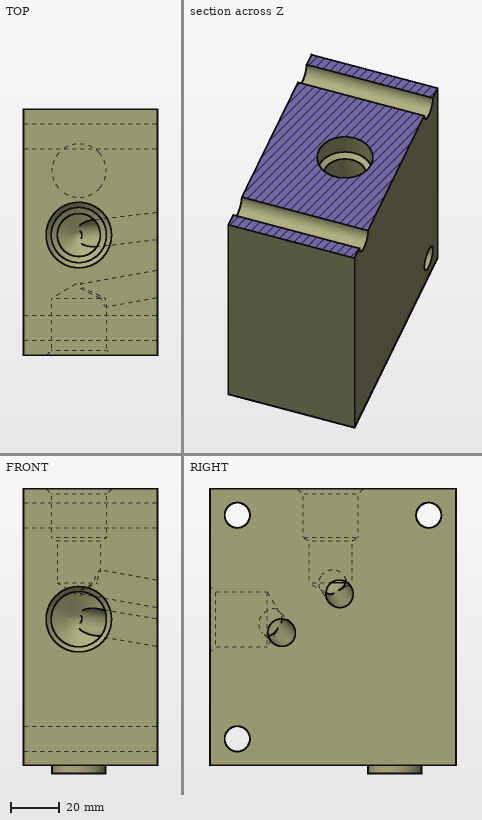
import cadquery as cq
import math

total_z = 117.6
plug_thickness = 3.4
block_x = 55.5
block_y = 101.6
block_z = total_z - plug_thickness

mount_diameter = 10.4
mount_inset_y = 11.3
mount_inset_z = 10.9

port_x = 22.9
mouth_diameter = 27.0
bore_diameter = 22.8
mouth_chamfer = (mouth_diameter - bore_diameter) / 2
drill_point_angle = 118.0
front_port_z = 60.3
front_bore_depth = 23.5
top_port_y = 49.6
top_bore_depth = 20.0
top_pilot_diameter = 17.8
top_pilot_depth = 38.8

passage_diameter = 11.2
passage_clearance = 1.0
passage_slope = 5.9
front_passage_drop = 5.5
top_passage_shift = 3.9

plug_diameter = 22.2
plug_y = 76.3


def drill_point_height(diameter):
    return diameter / 2 / math.tan(math.radians(drill_point_angle / 2))


front_port_depth = front_bore_depth + drill_point_height(bore_diameter)
top_port_depth = top_pilot_depth + drill_point_height(top_pilot_diameter)
passage_rise = passage_diameter / 2 + passage_clearance


def drill(diameter, depth):
    """Drill along +Z from the origin, with a conical point below its full-diameter depth."""
    profile = (
        cq.Workplane("XZ")
        .lineTo(diameter / 2, 0)
        .lineTo(diameter / 2, depth)
        .lineTo(0, depth + drill_point_height(diameter))
        .close()
    )
    return profile.revolve(360, (0, 0, 0), (0, 1, 0))


def mouth_cone():
    """Chamfer of a port mouth, narrowing along +Z from the origin."""
    return cq.Workplane(obj=cq.Solid.makeCone(mouth_diameter / 2, bore_diameter / 2, mouth_chamfer))


def make_front_port():
    port = drill(bore_diameter, front_bore_depth).union(mouth_cone())
    return port.rotate((0, 0, 0), (1, 0, 0), -90).translate((port_x, 0, front_port_z))


def make_top_port():
    port = drill(bore_diameter, top_bore_depth)
    port = port.union(drill(top_pilot_diameter, top_pilot_depth)).union(mouth_cone())
    return port.rotate((0, 0, 0), (1, 0, 0), 180).translate((port_x, top_port_y, block_z))


def make_passage(start, travel):
    """Round passage from start, running out through the +X face."""
    direction = cq.Vector(*travel)
    length = direction.Length + passage_diameter
    return cq.Solid.makeCylinder(passage_diameter / 2, length, cq.Vector(*start), direction)


def make_block():
    block = cq.Workplane("XY").box(block_x, block_y, block_z, centered=False)

    back_y = block_y - mount_inset_y
    upper_z = block_z - mount_inset_z
    mount_centres = [(mount_inset_y, mount_inset_z), (mount_inset_y, upper_z), (back_y, upper_z)]
    mount_holes = cq.Workplane("YZ").pushPoints(mount_centres).circle(mount_diameter / 2).extrude(block_x)
    block = block.cut(mount_holes)

    block = block.cut(make_front_port()).cut(make_top_port())

    passage_run = block_x - port_x
    front_passage = make_passage(
        (port_x, front_port_depth - passage_rise, front_port_z),
        (passage_run, passage_slope, -front_passage_drop),
    )
    top_passage = make_passage(
        (port_x, top_port_y, block_z - top_port_depth + passage_rise),
        (passage_run, top_passage_shift, -passage_slope),
    )
    return block.cut(cq.Workplane(obj=front_passage)).cut(cq.Workplane(obj=top_passage))


def make_plug():
    base = cq.Workplane("XY", origin=(port_x, plug_y, -plug_thickness))
    return base.circle(plug_diameter / 2).extrude(plug_thickness)


block = make_block()
plug = make_plug()
result = cq.Compound.makeCompound([block.solids().val(), plug.val()])